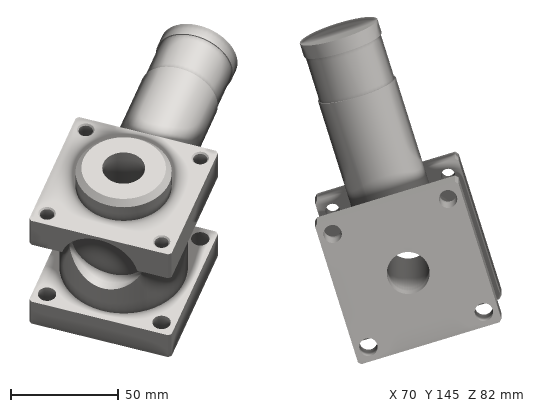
import cadquery as cq

plate_side = 70.0
corner_chamfer = 1.3
base_thickness = 15.0
top_plate_bottom = 53.8
top_plate_top = 70.0
column_diameter = 60.0
boss_diameter = 45.0
boss_chamfer = 2.8
housing_height = 82.0
vertical_bore_diameter = 20.0

screw_spacing = 56.4
base_screw_diameter = 8.5
top_screw_diameter = 6.7
screw_chamfer = 0.7

shaft_diameter = 38.0
shaft_axis_height = 49.3
overall_length = 145.0
shaft_back = overall_length - plate_side / 2
shaft_front = -20.0
neck_diameter = 36.7
neck_start = 81.0
collar_length = 6.7


def square_plate(bottom, top):
    """Square plate with chamfered vertical corners."""
    plate = cq.Workplane("XY").workplane(offset=bottom).rect(plate_side, plate_side).extrude(top - bottom)
    return plate.edges("|Z").chamfer(corner_chamfer)


def upright_cylinder(diameter, bottom, top):
    """Round solid on the Z axis."""
    return cq.Workplane("XY").workplane(offset=bottom).circle(diameter / 2).extrude(top - bottom)


def lengthwise_cylinder(diameter, front, back):
    """Round solid on the shaft axis, from y = front to y = back."""
    start = cq.Vector(0, front, shaft_axis_height)
    return cq.Workplane(cq.Solid.makeCylinder(diameter / 2, back - front, start, cq.Vector(0, 1, 0)))


def screw_holes(diameter, bottom, top):
    """Four upright cutters at the plate corners."""
    return (
        cq.Workplane("XY")
        .workplane(offset=bottom)
        .rect(screw_spacing, screw_spacing, forConstruction=True)
        .vertices()
        .circle(diameter / 2)
        .extrude(top - bottom)
    )


def make_base_plate():
    plate = square_plate(0, base_thickness)
    return plate.cut(screw_holes(base_screw_diameter, 0, base_thickness))


def make_top_plate():
    plate = square_plate(top_plate_bottom, top_plate_top)
    plate = plate.cut(screw_holes(top_screw_diameter, top_plate_bottom, top_plate_top))
    return plate.faces(">Z").edges("%CIRCLE").chamfer(screw_chamfer)


def make_vertical_bore():
    return upright_cylinder(vertical_bore_diameter, 0, housing_height)


def make_housing():
    column = upright_cylinder(column_diameter, base_thickness, top_plate_bottom)
    boss = upright_cylinder(boss_diameter, top_plate_top, housing_height)
    boss = boss.faces(">Z").edges().chamfer(boss_chamfer)
    housing = make_base_plate().union(column).union(make_top_plate()).union(boss)
    cross_bore = lengthwise_cylinder(shaft_diameter, -plate_side / 2, plate_side / 2)
    return housing.cut(cross_bore).cut(make_vertical_bore())


def make_shaft():
    collar_start = shaft_back - collar_length
    body = lengthwise_cylinder(shaft_diameter, shaft_front, neck_start)
    neck = lengthwise_cylinder(neck_diameter, neck_start, collar_start)
    collar = lengthwise_cylinder(shaft_diameter, collar_start, shaft_back)
    return body.union(neck).union(collar).cut(make_vertical_bore())


housing = make_housing()
shaft = make_shaft()
result = cq.Compound.makeCompound([housing.val(), shaft.val()])